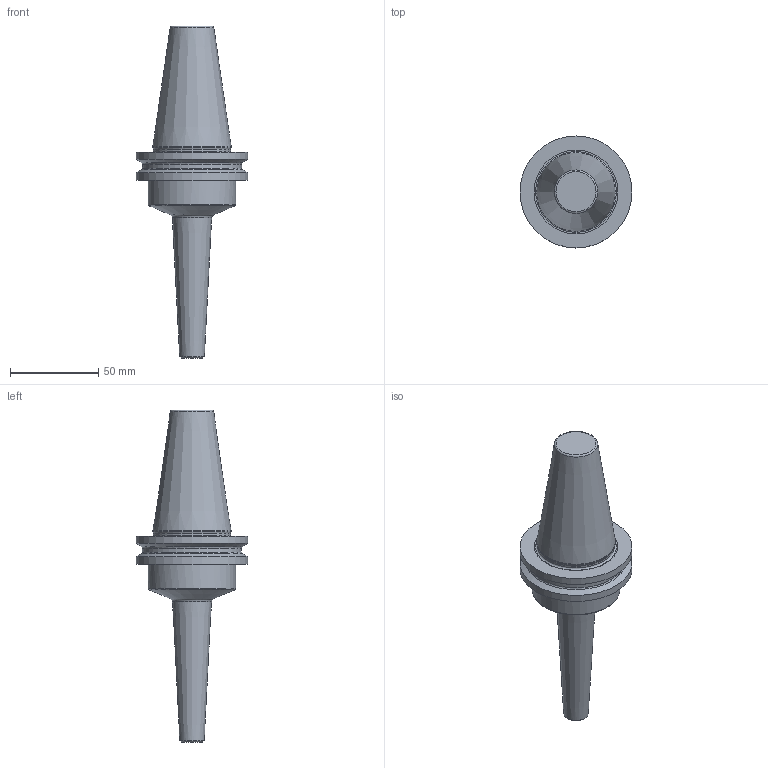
import cadquery as cq
import math

GAUGE_DIAMETER = 44.45
TAPER_RATIO = 7 / 24
TAPER_LENGTH = 68.4
TAPER_TOP_FILLET = 1.0

UNDERCUT_DIAMETER = 43.8
GAUGE_LAND = 0.6
UNDERCUT_START = 1.6
UNDERCUT_FILLET = 1.0

FLANGE_DIAMETER = 63.55
FLANGE_TOP = -3.2
FLANGE_BOTTOM = -19.1
FACE_RECESS_DIAMETER = 47.6
FACE_RECESS_DEPTH = 0.5

GROOVE_CENTER = -11.1
GROOVE_MOUTH_WIDTH = 7.6
GROOVE_DIAMETER = 56.25
GROOVE_WALL_ANGLE = 30
GROOVE_FILLET = 1.0

BODY_DIAMETER = 49.8
BODY_BOTTOM = -33.4
BODY_FILLET = 0.5
SHOULDER_BOTTOM = -39.2
NECK_TOP_DIAMETER = 22.4
NECK_FILLET = 2.0

NOSE_END = -120.0
NOSE_DIAMETER = 14.0
NOSE_CHAMFER = 0.8

MATCH_TOLERANCE = 0.01

gauge_radius = GAUGE_DIAMETER / 2
undercut_radius = UNDERCUT_DIAMETER / 2
taper_top_radius = (GAUGE_DIAMETER - TAPER_RATIO * TAPER_LENGTH) / 2
flange_radius = FLANGE_DIAMETER / 2
groove_radius = GROOVE_DIAMETER / 2
groove_wall_rise = (flange_radius - groove_radius) * math.tan(math.radians(GROOVE_WALL_ANGLE))
recess_floor = FLANGE_TOP - FACE_RECESS_DEPTH
groove_mouth_top = GROOVE_CENTER + GROOVE_MOUTH_WIDTH / 2
groove_mouth_bottom = GROOVE_CENTER - GROOVE_MOUTH_WIDTH / 2
groove_floor_top = groove_mouth_top - groove_wall_rise
groove_floor_bottom = groove_mouth_bottom + groove_wall_rise


def revolve_profile(points):
    """Turn an (r, z) outline about the Z axis."""
    return cq.Workplane("XZ").polyline(points).close().revolve(360, (0, 0, 0), (0, 1, 0))


def circles_at(shape, radius, z):
    """Select the circular edges of the given radius centred on the axis at height z."""
    return shape.edges("%CIRCLE").filter(
        lambda edge: abs(edge.radius() - radius) < MATCH_TOLERANCE
        and abs(edge.Center().z - z) < MATCH_TOLERANCE
    )


def make_taper():
    """7/24 taper shank with a short land and an undercut that runs into the flange."""
    taper = revolve_profile([
        (0, TAPER_LENGTH),
        (taper_top_radius, TAPER_LENGTH),
        (gauge_radius, 0),
        (gauge_radius, -GAUGE_LAND),
        (undercut_radius, -UNDERCUT_START),
        (undercut_radius, recess_floor),
        (0, recess_floor),
    ])
    return circles_at(taper, taper_top_radius, TAPER_LENGTH).fillet(TAPER_TOP_FILLET)


def make_flange():
    """Gripper flange with a V-groove and a shallow recess in its upper face."""
    recess_radius = FACE_RECESS_DIAMETER / 2
    flange = revolve_profile([
        (0, recess_floor),
        (recess_radius, recess_floor),
        (recess_radius, FLANGE_TOP),
        (flange_radius, FLANGE_TOP),
        (flange_radius, groove_mouth_top),
        (groove_radius, groove_floor_top),
        (groove_radius, groove_floor_bottom),
        (flange_radius, groove_mouth_bottom),
        (flange_radius, FLANGE_BOTTOM),
        (0, FLANGE_BOTTOM),
    ])
    for floor_edge in (groove_floor_top, groove_floor_bottom):
        flange = circles_at(flange, groove_radius, floor_edge).fillet(GROOVE_FILLET)
    return flange


def make_nose():
    """Cylindrical body, conical shoulder and slender tapered nose."""
    body_radius = BODY_DIAMETER / 2
    neck_radius = NECK_TOP_DIAMETER / 2
    nose_radius = NOSE_DIAMETER / 2
    nose = revolve_profile([
        (0, FLANGE_BOTTOM),
        (body_radius, FLANGE_BOTTOM),
        (body_radius, BODY_BOTTOM),
        (neck_radius, SHOULDER_BOTTOM),
        (nose_radius, NOSE_END + NOSE_CHAMFER),
        (nose_radius - NOSE_CHAMFER, NOSE_END),
        (0, NOSE_END),
    ])
    nose = circles_at(nose, body_radius, BODY_BOTTOM).fillet(BODY_FILLET)
    return circles_at(nose, neck_radius, SHOULDER_BOTTOM).fillet(NECK_FILLET)


part = make_taper().union(make_flange()).union(make_nose())
result = circles_at(part, undercut_radius, recess_floor).fillet(UNDERCUT_FILLET)